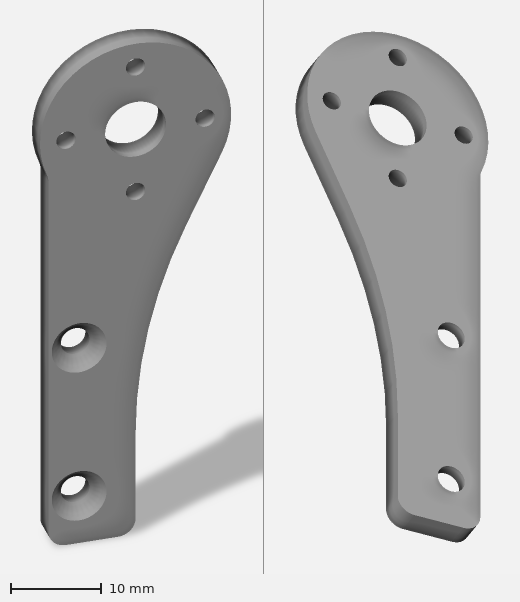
import cadquery as cq
import math

thickness = 3.0
total_height = 63.0

head_diameter = 22.0
bore_diameter = 7.0
screw_circle_radius = 8.0
screw_hole_diameter = 2.2
screw_hole_count = 4

arm_width = 10.0
arm_corner_radius = 2.0
mount_hole_diameter = 3.3
mount_hole_offset = 6.5
mount_hole_height = 6.05
mount_hole_spacing = 19.0
mount_hole_count = 2
countersink_diameter = 6.3

flank_angle = 25.5
flank_blend_radius = 60.0
neck_fillet_radius = 2.0

head_radius = head_diameter / 2
arm_bottom = head_radius - total_height

flank = math.radians(flank_angle)
flank_start = (head_radius * math.cos(flank), -head_radius * math.sin(flank))
flank_end_z = -head_radius / math.sin(flank)
neck_z = -math.sqrt(head_radius**2 - arm_width**2)


def plate_blank():
    """Head and arm outline, extruded to the plate thickness."""
    return (
        cq.Workplane("YZ")
        .moveTo(*flank_start)
        .threePointArc((0, head_radius), (-arm_width, neck_z))
        .lineTo(-arm_width, arm_bottom)
        .lineTo(0, arm_bottom)
        .lineTo(0, flank_end_z)
        .close()
        .extrude(thickness)
    )


def round_edge(body, y, z, radius):
    """Round the through-thickness edge nearest to (y, z)."""
    edge = cq.selectors.NearestToPointSelector((thickness / 2, y, z))
    return body.edges("|X").edges(edge).fillet(radius)


def holes(points, diameter):
    """Through-hole cutters at the given (y, z) points."""
    return cq.Workplane("YZ").pushPoints(points).circle(diameter / 2).extrude(thickness)


def countersinks(points):
    """90 degree cone cutters opening onto the +X face at the given (y, z) points."""
    depth = (countersink_diameter - mount_hole_diameter) / 2
    cone = cq.Solid.makeCone(
        mount_hole_diameter / 2,
        countersink_diameter / 2,
        depth,
        pnt=cq.Vector(thickness - depth, 0, 0),
        dir=cq.Vector(1, 0, 0),
    )
    cutters = cq.Workplane("YZ")
    for y, z in points:
        cutters = cutters.add(cone.translate(cq.Vector(0, y, z)))
    return cutters.combine()


plate = plate_blank()
plate = round_edge(plate, 0, flank_end_z, flank_blend_radius)
plate = round_edge(plate, -arm_width, neck_z, neck_fillet_radius)
for corner_y in (-arm_width, 0):
    plate = round_edge(plate, corner_y, arm_bottom, arm_corner_radius)

screw_angles = [2 * math.pi * i / screw_hole_count for i in range(screw_hole_count)]
screw_points = [
    (screw_circle_radius * math.cos(angle), screw_circle_radius * math.sin(angle))
    for angle in screw_angles
]
mount_points = [
    (-mount_hole_offset, arm_bottom + mount_hole_height + i * mount_hole_spacing)
    for i in range(mount_hole_count)
]

result = (
    plate
    .cut(holes([(0, 0)], bore_diameter))
    .cut(holes(screw_points, screw_hole_diameter))
    .cut(holes(mount_points, mount_hole_diameter))
    .cut(countersinks(mount_points))
)